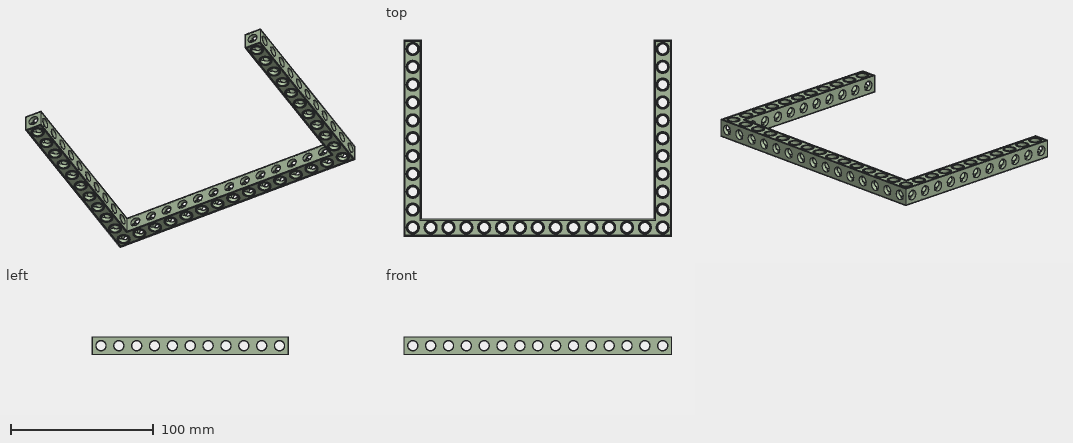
import cadquery as cq
length = 187.5
columns = 15
rows = 11
pitch = length / columns
inner_clearance = 0.26
hole_diameter = 7.0

groove_depth = 0.2
rim_width = 0.2
edge_groove_reach = 1.0
ring_inner_diameter = 7.9
ring_outer_diameter = 9.2

depth = rows * pitch
height = pitch
bar_width = pitch - inner_clearance
half_pitch = pitch / 2
column_places = [(column + 0.5) * pitch for column in range(columns)]
row_places = [(row + 0.5) * pitch for row in range(rows)]
vertical_places = [(x, half_pitch) for x in column_places]
for arm_x in (column_places[0], column_places[-1]):
    vertical_places += [(arm_x, y) for y in row_places[1:]]


def make_frame(inset, thickness):
    """U-shaped frame standing on Z = 0, with every wall moved inwards by the inset."""
    inset_width = bar_width - 2 * inset
    crossbar = cq.Workplane("XY").box(length - 2 * inset, inset_width, thickness, centered=False)
    arm = cq.Workplane("XY").box(inset_width, depth - 2 * inset, thickness, centered=False)
    second_arm = arm.translate((length - bar_width, 0, 0))
    return crossbar.union(arm).union(second_arm).translate((inset, inset, 0))


def make_cylinders(plane, places, diameter, reach):
    """Equal cylinders that start on the plane at the given places."""
    return cq.Workplane(plane).pushPoints(places).circle(diameter / 2).extrude(reach)


def make_grooves():
    """Groove along all the walls, and a ring groove around each vertical hole."""
    edge_groove = make_frame(rim_width, groove_depth).cut(make_frame(edge_groove_reach, groove_depth))
    ring_outside = make_cylinders("XY", vertical_places, ring_outer_diameter, groove_depth)
    ring_inside = make_cylinders("XY", vertical_places, ring_inner_diameter, groove_depth)
    return edge_groove.union(ring_outside.cut(ring_inside))


vertical_holes = make_cylinders("XY", vertical_places, hole_diameter, height)

y_hole_places = [(x, half_pitch) for x in column_places]
y_holes = make_cylinders("XZ", y_hole_places, hole_diameter, -depth)

x_hole_places = [(y, half_pitch) for y in row_places]
x_holes = make_cylinders("YZ", x_hole_places, hole_diameter, length)

grooves = make_grooves()
result = (
    make_frame(0, height)
    .cut(grooves)
    .cut(grooves.translate((0, 0, height - groove_depth)))
    .cut(vertical_holes)
    .cut(y_holes)
    .cut(x_holes)
)